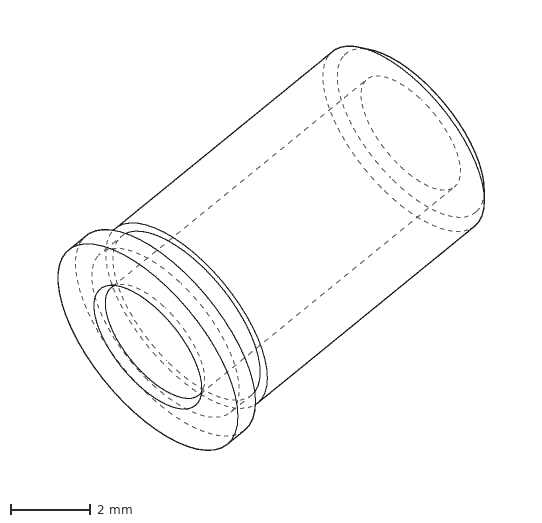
import cadquery as cq

length = 9.53
flange_diameter = 6.35
flange_thickness = 0.64
groove_diameter = 5.19
groove_width = 0.76
body_diameter = 5.7
body_chamfer = 0.26
bore_diameter = 3.51
bore_mouth_diameter = 3.8
bore_chamfer_depth = 0.26

body_start = flange_thickness + groove_width
chamfer_start = length - body_chamfer

half_section = [
    (bore_mouth_diameter / 2, 0),
    (flange_diameter / 2, 0),
    (flange_diameter / 2, flange_thickness),
    (groove_diameter / 2, flange_thickness),
    (groove_diameter / 2, body_start),
    (body_diameter / 2, body_start),
    (body_diameter / 2, chamfer_start),
    (body_diameter / 2 - body_chamfer, length),
    (bore_diameter / 2, length),
    (bore_diameter / 2, bore_chamfer_depth),
]

result = cq.Workplane("XY").polyline(half_section).close().revolve(360, (0, 0, 0), (0, 1, 0))